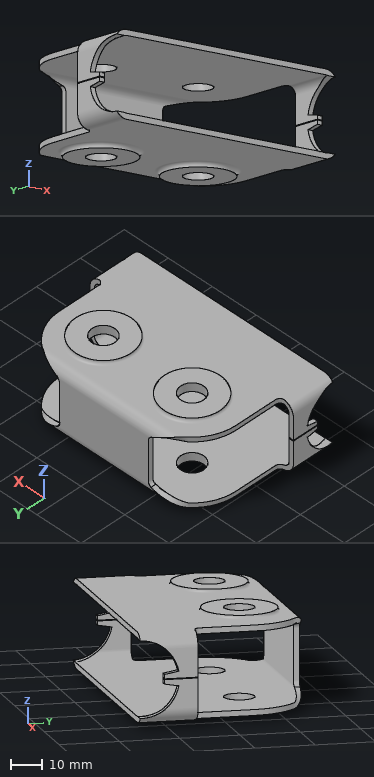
import cadquery as cq
import math

total_width = 92.6
total_depth = 59.0
total_height = 33.2

sheet = 2.0
shell_height = 29.9
bend_radius = 5.0
relief_radius = 2.0

plate_width = 80.4
plate_corner_radius = 20.0
ear_depth = 19.0

boss_radius = 12.5
boss_fillet = 1.6
hole_diameter = 10.1

slit = 0.3
tab_tip_setback = 7.8
tab_root_setback = 12.9
tab_tip_height = 3.15
tab_root_height = 5.0
notch_radius = 12.8

half_shell = shell_height / 2
half_plate = plate_width / 2
inner_bend_radius = bend_radius - sheet
bend_z = half_shell - bend_radius
bend_y = total_depth - bend_radius
boss_x = half_plate - plate_corner_radius
boss_y = total_depth - plate_corner_radius
boss_height = (total_height - shell_height) / 2

middle_bend_radius = bend_radius - sheet / 2
slant = math.atan(math.sqrt(plate_corner_radius * bend_radius) / middle_bend_radius)
relief_length = relief_radius * math.tan(slant / 2)
relief_on_bend = relief_radius * math.sin(slant) - relief_length
relief_angle = math.pi / 2 - relief_on_bend / middle_bend_radius
fan_steps = 8


def sheet_outline():
    """Plan outline of the plates and ears up to the back bends, as a block of the full shell height."""
    plate = (
        cq.Workplane("XY")
        .rect(plate_width, 2 * total_depth)
        .extrude(half_shell, both=True)
        .edges("|Z and >Y")
        .fillet(plate_corner_radius)
    )
    ears = cq.Workplane("XY").rect(total_width, 2 * ear_depth).extrude(half_shell, both=True)
    inside_corners = cq.selectors.BoxSelector(
        (-half_plate - sheet, ear_depth - sheet, -half_shell),
        (half_plate + sheet, ear_depth + sheet, half_shell),
    )
    front_part = cq.Workplane("XY").box(
        total_width, bend_y, shell_height, centered=(True, False, True)
    )
    outline = plate.union(ears).edges("|Z").edges(inside_corners).fillet(relief_radius)
    return outline.intersect(front_part)


def plates_and_ears():
    """Rounded rectangular tube along Y, trimmed to the plan outline."""
    outside = (
        cq.Workplane("XY")
        .box(total_width, bend_y, shell_height, centered=(True, False, True))
        .edges("|Y")
        .fillet(bend_radius)
    )
    inside = (
        cq.Workplane("XY")
        .box(total_width - 2 * sheet, bend_y, shell_height - 2 * sheet, centered=(True, False, True))
        .edges("|Y")
        .fillet(inner_bend_radius)
    )
    return outside.cut(inside).intersect(sheet_outline())


def arc_half_width(angle):
    """Half width of the back bend on the corner arc; the angle is 0 at the plate, pi / 2 at the wall."""
    reach = bend_y + bend_radius * math.sin(angle) - boss_y
    return boss_x + math.sqrt(plate_corner_radius**2 - reach**2)


def relief_half_width(distance):
    """Half width in the rounded corner, at a distance along the sheet from where the rounding ends."""
    return boss_x + relief_radius - math.sqrt(relief_radius**2 - distance**2)


def relief_bend_half_width(angle):
    """Half width of the back bend where the rounded corner runs onto it."""
    return relief_half_width(relief_length + middle_bend_radius * (math.pi / 2 - angle))


def bend_fan(half_width_at, start, end):
    """Wedge around the bend axis, its ends square to the sheet at the given half width."""
    near = inner_bend_radius - sheet / 2
    far = bend_radius + sheet
    sections = []
    for i in range(fan_steps + 1):
        angle = start + (end - start) * i / fan_steps
        half_width = half_width_at(angle)
        corners = [
            cq.Vector(x, bend_y + r * math.sin(angle), bend_z + r * math.cos(angle))
            for x, r in ((-half_width, near), (half_width, near), (half_width, far), (-half_width, far))
        ]
        sections.append(cq.Wire.makePolygon(corners, close=True))
    return cq.Workplane(obj=cq.Solid.makeLoft(sections))


def back_bend():
    """Upper bend between plate and back wall, narrowing along the corner arc."""
    ring = (
        cq.Workplane("YZ", origin=(-half_plate, bend_y, bend_z))
        .circle(bend_radius)
        .circle(inner_bend_radius)
        .extrude(plate_width)
    )
    arc_part = ring.intersect(bend_fan(arc_half_width, 0, relief_angle))
    relief_part = ring.intersect(bend_fan(relief_bend_half_width, relief_angle, math.pi / 2))
    return arc_part.union(relief_part)


def back_wall():
    """Flat back wall, flared by the rounded corners at its upper and lower edges."""
    edge_x = relief_half_width(relief_length)
    mid_x = relief_half_width(relief_length / 2)
    straight_z = bend_z - relief_length
    mid_z = bend_z - relief_length / 2
    return (
        cq.Workplane("XZ", origin=(0, total_depth, 0))
        .moveTo(-edge_x, bend_z)
        .lineTo(edge_x, bend_z)
        .threePointArc((mid_x, mid_z), (boss_x, straight_z))
        .lineTo(boss_x, -straight_z)
        .threePointArc((mid_x, -mid_z), (edge_x, -bend_z))
        .lineTo(-edge_x, -bend_z)
        .threePointArc((-mid_x, -mid_z), (-boss_x, -straight_z))
        .lineTo(-boss_x, straight_z)
        .threePointArc((-mid_x, mid_z), (-edge_x, bend_z))
        .close()
        .extrude(sheet)
    )


def boss():
    """Round boss on the upper plate with a hollow fillet at its foot."""
    foot = boss_radius + boss_fillet
    buried = -sheet / 2
    curve_mid = boss_fillet * (1 - math.sqrt(0.5))
    return (
        cq.Workplane("XZ")
        .moveTo(0, buried)
        .lineTo(foot, buried)
        .lineTo(foot, 0)
        .threePointArc((boss_radius + curve_mid, curve_mid), (boss_radius, boss_fillet))
        .lineTo(boss_radius, boss_height)
        .lineTo(0, boss_height)
        .close()
        .revolve(360, (0, 0), (0, 1))
    )


def ear_cutter():
    """Round notch in the front of both ears, leaving a tapered tab in the middle."""
    notch = (
        cq.Workplane("YZ")
        .circle(notch_radius)
        .extrude(total_width, both=True)
    )
    tab = (
        cq.Workplane("YZ")
        .polyline([
            (tab_tip_setback, tab_tip_height / 2),
            (tab_root_setback, tab_root_height / 2),
            (ear_depth, tab_root_height / 2),
            (ear_depth, -tab_root_height / 2),
            (tab_root_setback, -tab_root_height / 2),
            (tab_tip_setback, -tab_tip_height / 2),
        ])
        .close()
        .extrude(total_width, both=True)
    )
    gap = cq.Workplane("XY").box(2 * total_width, 2 * ear_depth, slit)
    return notch.cut(tab).union(gap)


upper_bend = back_bend()
result = plates_and_ears().union(back_wall())
result = result.union(upper_bend).union(upper_bend.mirror("XY"))

result = result.cut(ear_cutter())

for x in (-boss_x, boss_x):
    upper_boss = boss().translate((x, boss_y, half_shell))
    hole = (
        cq.Workplane("XY", origin=(x, boss_y, 0))
        .circle(hole_diameter / 2)
        .extrude(total_height, both=True)
    )
    result = result.union(upper_boss).union(upper_boss.mirror("XY")).cut(hole)